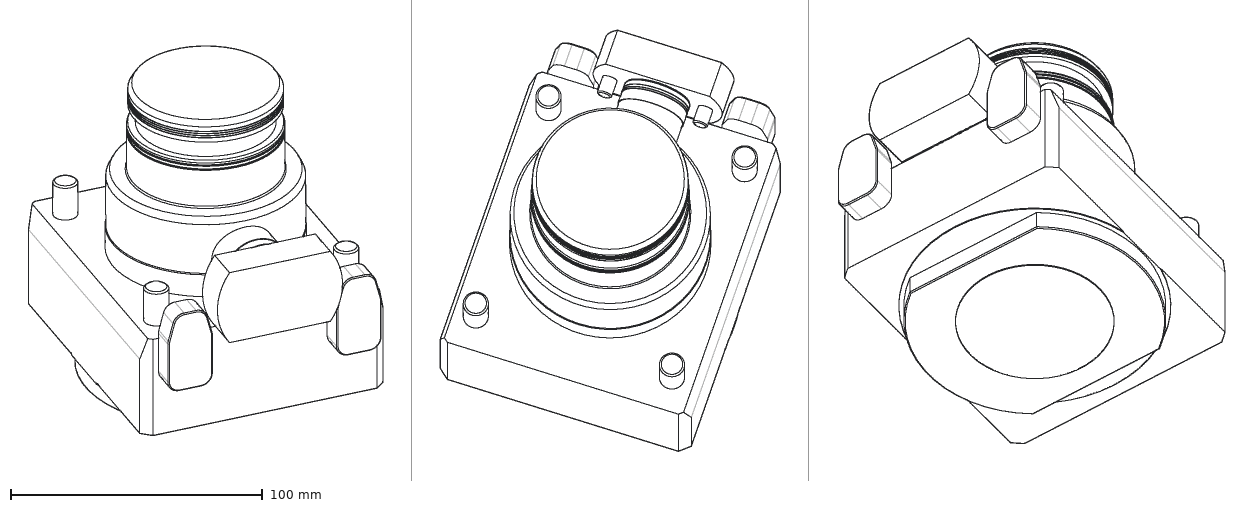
import cadquery as cq


BODY_LENGTH = 120.0
BODY_WIDTH = 105.0
BODY_HEIGHT = 44.0
CORNER_DIAMETER = 154.0
BEVEL_INSET = 2.5
BEVEL_HEIGHT = 10.0

GASKET_DIAMETER = 108.0
GASKET_THICKNESS = 0.5
FOOT_DIAMETER = 104.0
FOOT_LENGTH = 83.5
FOOT_HEIGHT = 9.0
FOOT_CHAMFER = 0.5
RIM_DIAMETER = 63.0
OVERALL_DEPTH = 53.5

BASE_RADIUS = 80.0 / 2
BASE_TOP = 10.5
BASE_CHAMFER_HEIGHT = 0.5
FLANGE_RADIUS = 79.5 / 2
FLANGE_TOP = 35.75
FLANGE_CHAMFER_WIDTH = 1.5
FLANGE_CHAMFER_HEIGHT = 3.0
COLLAR_RADIUS = 63.0 / 2
COLLAR_TOP = 57.25
COLLAR_CHAMFER_WIDTH = 0.5
COLLAR_CHAMFER_HEIGHT = 1.0
COLLAR_FLARE = 0.5
COLLAR_FLARE_HEIGHT = 0.75
COLLAR_GROOVE_TOPS = (55.25, 53.4)
COLLAR_GROOVE_WIDTH = 0.5
NECK_RADIUS = 56.0 / 2
CAP_RADIUS = 62.0 / 2
CAP_TOP_RADIUS = 58.8 / 2
CAP_BOTTOM = 65.5
CAP_TOP = 75.0
CAP_CHAMFER_HEIGHT = 2.5
CAP_GROOVE_TOPS = (70.3, 68.4)
CAP_GROOVE_WIDTH = 0.95
GROOVE_DEPTH = 0.25

PIN_DIAMETER = 10.0
PIN_HEIGHT = 15.25
PIN_CHAMFER = 0.75
PIN_SPACING_X = 92.0
PIN_SPACING_Y = 82.0

PORT_AXIS_Z = 16.5
PORT_NECK_DIAMETER = 26.8
PORT_DIAMETER = 27.4
PORT_RING_DIAMETER = 27.6
PORT_SLEEVE_START = 51.0
PORT_SLEEVE_END = 55.7
PORT_RING_START = 55.8
PORT_RING_END = 56.6
PORT_RING_FILLET = 0.35
PORT_COLLAR_START = 57.6
PORT_COLLAR_END = 59.5

SIDE_FACE_X = BODY_LENGTH / 2
COVER_DIAMETER = 54.0
COVER_HEIGHT = 32.0
COVER_THICKNESS = 15.1
COVER_PIN_DIAMETER = 6.0
COVER_PIN_LENGTH = 7.25
COVER_PIN_CHAMFER = 0.5
COVER_PIN_SPACING = 40.0

LUG_OFFSET_Y = 36.4
LUG_HALF_WIDTH = 9.6
LUG_TOP = 15.0
LUG_BOTTOM = -20.0
LUG_THICKNESS = 10.0
LUG_TAPER_INSET = 3.2
LUG_TAPER_HEIGHT = 12.0
LUG_CORNER_RADIUS = 5.0
LUG_EDGE_CHAMFER = 0.5


def ring_groove(outer_radius, top, width):
    """Shallow ring to cut from a vertical cylinder."""
    ring = cq.Workplane("XY").circle(outer_radius + GROOVE_DEPTH).circle(outer_radius - GROOVE_DEPTH)
    return ring.extrude(width).translate((0, 0, top - width))


def x_cylinder(diameter, start, end):
    """Cylinder on the side port axis between two X positions."""
    disc = cq.Workplane("YZ", origin=(start, 0, PORT_AXIS_Z)).circle(diameter / 2)
    return disc.extrude(end - start)


def make_body():
    half_width = BODY_WIDTH / 2
    end_profile = [
        (-half_width, -BODY_HEIGHT),
        (half_width, -BODY_HEIGHT),
        (half_width, -BEVEL_HEIGHT),
        (half_width - BEVEL_INSET, 0),
        (BEVEL_INSET - half_width, 0),
        (-half_width, -BEVEL_HEIGHT),
    ]
    block = cq.Workplane("YZ").polyline(end_profile).close().extrude(BODY_LENGTH / 2, both=True)
    turned_limits = (
        cq.Workplane("XY", origin=(0, 0, -BODY_HEIGHT))
        .circle(CORNER_DIAMETER / 2)
        .extrude(BODY_HEIGHT)
    )
    return block.intersect(turned_limits)


def make_foot():
    base = cq.Workplane("XY", origin=(0, 0, -BODY_HEIGHT))
    gasket_limits = base.rect(GASKET_DIAMETER, BODY_WIDTH).extrude(-GASKET_THICKNESS)
    gasket = base.circle(GASKET_DIAMETER / 2).extrude(-GASKET_THICKNESS).intersect(gasket_limits)
    foot_limits = base.rect(FOOT_LENGTH, FOOT_DIAMETER).extrude(-FOOT_HEIGHT)
    foot = base.circle(FOOT_DIAMETER / 2).extrude(-FOOT_HEIGHT).intersect(foot_limits)
    foot = foot.faces("<Z").chamfer(FOOT_CHAMFER)
    rim = base.circle(RIM_DIAMETER / 2).extrude(BODY_HEIGHT - OVERALL_DEPTH)
    return gasket.union(foot).union(rim)


def make_barrel():
    half_section = [
        (0, 0),
        (BASE_RADIUS, 0),
        (BASE_RADIUS, BASE_TOP - BASE_CHAMFER_HEIGHT),
        (FLANGE_RADIUS, BASE_TOP),
        (FLANGE_RADIUS, FLANGE_TOP - FLANGE_CHAMFER_HEIGHT),
        (FLANGE_RADIUS - FLANGE_CHAMFER_WIDTH, FLANGE_TOP),
        (COLLAR_RADIUS + COLLAR_FLARE, FLANGE_TOP),
        (COLLAR_RADIUS, FLANGE_TOP + COLLAR_FLARE_HEIGHT),
        (COLLAR_RADIUS, COLLAR_TOP - COLLAR_CHAMFER_HEIGHT),
        (COLLAR_RADIUS - COLLAR_CHAMFER_WIDTH, COLLAR_TOP),
        (NECK_RADIUS, COLLAR_TOP),
        (NECK_RADIUS, CAP_BOTTOM),
        (CAP_RADIUS, CAP_BOTTOM),
        (CAP_RADIUS, CAP_TOP - CAP_CHAMFER_HEIGHT),
        (CAP_TOP_RADIUS, CAP_TOP),
        (0, CAP_TOP),
    ]
    barrel = cq.Workplane("XZ").polyline(half_section).close().revolve(360, (0, 0), (0, 1))
    for top in COLLAR_GROOVE_TOPS:
        barrel = barrel.cut(ring_groove(COLLAR_RADIUS, top, COLLAR_GROOVE_WIDTH))
    for top in CAP_GROOVE_TOPS:
        barrel = barrel.cut(ring_groove(CAP_RADIUS, top, CAP_GROOVE_WIDTH))
    return barrel


def make_pins():
    return (
        cq.Workplane("XY")
        .rect(PIN_SPACING_X, PIN_SPACING_Y, forConstruction=True)
        .vertices()
        .circle(PIN_DIAMETER / 2)
        .extrude(PIN_HEIGHT)
        .faces(">Z")
        .chamfer(PIN_CHAMFER)
    )


def make_port():
    neck = x_cylinder(PORT_NECK_DIAMETER, 0, SIDE_FACE_X)
    sleeve = x_cylinder(PORT_DIAMETER, PORT_SLEEVE_START, PORT_SLEEVE_END)
    ring = x_cylinder(PORT_RING_DIAMETER, PORT_RING_START, PORT_RING_END).edges().fillet(PORT_RING_FILLET)
    collar = x_cylinder(PORT_DIAMETER, PORT_COLLAR_START, PORT_COLLAR_END)
    return neck.union(sleeve).union(ring).union(collar)


def make_cover():
    face = cq.Workplane("YZ", origin=(SIDE_FACE_X, 0, PORT_AXIS_Z))
    limits = face.rect(COVER_DIAMETER, COVER_HEIGHT).extrude(COVER_THICKNESS)
    cover = face.circle(COVER_DIAMETER / 2).extrude(COVER_THICKNESS).intersect(limits)
    pins = (
        face.pushPoints([(-COVER_PIN_SPACING / 2, 0), (COVER_PIN_SPACING / 2, 0)])
        .circle(COVER_PIN_DIAMETER / 2)
        .extrude(-COVER_PIN_LENGTH)
        .faces("<X")
        .chamfer(COVER_PIN_CHAMFER)
    )
    return cover.union(pins)


def make_lug(center_y):
    taper_start = LUG_TOP - LUG_TAPER_HEIGHT
    top_half_width = LUG_HALF_WIDTH - LUG_TAPER_INSET
    outline = [
        (-LUG_HALF_WIDTH, LUG_BOTTOM),
        (LUG_HALF_WIDTH, LUG_BOTTOM),
        (LUG_HALF_WIDTH, taper_start),
        (top_half_width, LUG_TOP),
        (-top_half_width, LUG_TOP),
        (-LUG_HALF_WIDTH, taper_start),
    ]
    return (
        cq.Workplane("YZ", origin=(SIDE_FACE_X, center_y, 0))
        .polyline(outline)
        .close()
        .extrude(LUG_THICKNESS)
        .edges("|X")
        .fillet(LUG_CORNER_RADIUS)
        .faces(">X")
        .chamfer(LUG_EDGE_CHAMFER)
    )


result = make_body().union(make_foot()).union(make_barrel()).union(make_pins())
result = result.union(make_port()).union(make_cover())
for side in (-1, 1):
    result = result.union(make_lug(side * LUG_OFFSET_Y))